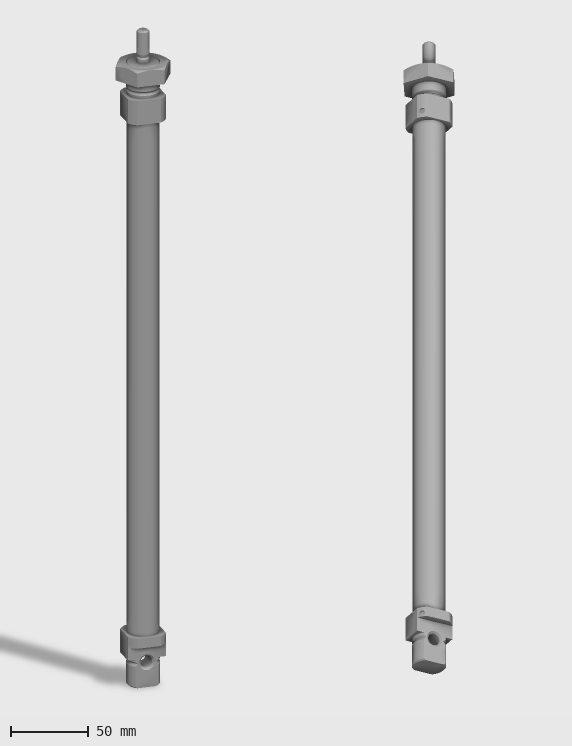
import cadquery as cq
import math

total_height = 452.0
nut_top = 430.0
nut_height = 11.0
front_cap_top = 408.0
front_cap_bottom = 391.5
rear_cap_top = 36.0

tube_diameter = 21.2
cap_across_flats = 25.8
cap_corner_diameter = 30.5
screw_hole_diameter = 3.9
screw_hole_depth = 1.5
screw_hole_inset = 4.5

thread_diameter = 22.0
thread_chamfer = 1.0
relief_diameter = 20.0
relief_height = 0.5
neck_foot_top = 410.5

eye_thickness = 16.0
eye_shoulder_bottom = 29.5
eye_block_bottom = 20.0
eye_groove_top = 18.0
eye_groove_height = 16.5
eye_groove_bottom = 15.0
eye_end_chamfer = 1.0
pin_hole_diameter = 8.0
pin_hole_height = 17.0
pin_hole_chamfer = 1.5

nut_across_flats = 32.0
nut_chamfer_angle = 30.0

rod_diameter = 8.0
rod_depth = 27.0
rod_across_flats = 7.2
rod_flat_top = 431.5
rod_relief_diameter = 6.5
rod_relief_height = 433.5
rod_thread_bottom = 435.7
rod_chamfer = 1.0

rod_bottom = nut_top - rod_depth


def cylinder(diameter, bottom, top):
    return cq.Workplane("XY", origin=(0, 0, bottom)).circle(diameter / 2).extrude(top - bottom)


def turned(outline):
    """Solid of revolution about Z from (radius, height) points that start and end on the axis."""
    return cq.Workplane("XZ").polyline(outline).close().revolve(360, (0, 0, 0), (0, 1, 0))


def end_cap(bottom, top):
    """Square block whose four vertical corners are turned round."""
    square = cq.Workplane("XY", origin=(0, 0, bottom)).rect(cap_across_flats, cap_across_flats)
    return square.extrude(top - bottom).intersect(cylinder(cap_corner_diameter, bottom, top))


def screw_hole(height):
    """Blind hole that enters a cap square to its (-X, +Y) corner."""
    inward = cq.Vector(1, -1, 0).normalized()
    start = inward * (-cap_corner_diameter / 2) + cq.Vector(0, 0, height)
    plane = cq.Plane(origin=start, xDir=(0, 0, 1), normal=inward)
    return cq.Workplane(plane).circle(screw_hole_diameter / 2).extrude(screw_hole_depth)


def threaded_neck():
    """Neck above the front cap: foot, thin collar, relief groove and chamfered thread."""
    thread_radius = thread_diameter / 2
    relief_radius = relief_diameter / 2
    groove_flank = thread_radius - relief_radius
    relief_bottom = neck_foot_top + groove_flank
    relief_top = relief_bottom + relief_height
    return turned([
        (0, front_cap_top),
        (tube_diameter / 2, front_cap_top),
        (tube_diameter / 2, neck_foot_top),
        (thread_radius, neck_foot_top),
        (relief_radius, relief_bottom),
        (relief_radius, relief_top),
        (thread_radius, relief_top + groove_flank),
        (thread_radius, nut_top - thread_chamfer),
        (thread_radius - thread_chamfer, nut_top),
        (0, nut_top),
    ])


def pin_hole():
    """Cross hole along X with a chamfered mouth on both faces of the eye."""
    face_x = eye_thickness / 2
    hole_radius = pin_hole_diameter / 2
    mouth_radius = hole_radius + pin_hole_chamfer
    outline = [
        (-face_x, 0),
        (-face_x, mouth_radius),
        (-face_x + pin_hole_chamfer, hole_radius),
        (face_x - pin_hole_chamfer, hole_radius),
        (face_x, mouth_radius),
        (face_x, 0),
    ]
    hole = cq.Workplane("XY").polyline(outline).close().revolve(360, (0, 0, 0), (1, 0, 0))
    return hole.translate((0, 0, pin_hole_height))


def rear_eye():
    """Flat tongue below the rear flange, square at its root and turned round at its end."""
    round_radius = thread_diameter / 2
    groove_radius = relief_diameter / 2
    round_end = turned([
        (0, 0),
        (round_radius - eye_end_chamfer, 0),
        (round_radius, eye_end_chamfer),
        (round_radius, eye_groove_bottom),
        (groove_radius, eye_groove_height),
        (round_radius, eye_groove_top),
        (round_radius, eye_block_bottom),
        (0, eye_block_bottom),
    ])
    root = end_cap(eye_block_bottom, eye_shoulder_bottom)
    slab = cq.Workplane("XY").rect(eye_thickness, cap_across_flats).extrude(eye_shoulder_bottom)
    return round_end.union(root).intersect(slab).cut(pin_hole())


def make_housing():
    housing = cylinder(tube_diameter, rear_cap_top, front_cap_bottom)
    housing = housing.union(end_cap(front_cap_bottom, front_cap_top)).union(threaded_neck())
    housing = housing.union(end_cap(eye_shoulder_bottom, rear_cap_top)).union(rear_eye())
    for hole_height in (front_cap_bottom + screw_hole_inset, rear_cap_top - screw_hole_inset):
        housing = housing.cut(screw_hole(hole_height))
    return housing.cut(cylinder(rod_diameter, rod_bottom, nut_top))


def make_nut():
    """Hexagon nut with a 30 degree chamfer on its upper corners."""
    bottom = nut_top - nut_height
    corner_radius = nut_across_flats / 2 / math.cos(math.radians(30))
    face_radius = nut_across_flats / 2
    drop = (corner_radius - face_radius) * math.tan(math.radians(nut_chamfer_angle))
    hexagon = cq.Workplane("XY", origin=(0, 0, bottom)).polygon(6, 2 * corner_radius).extrude(nut_height)
    hexagon = hexagon.rotate((0, 0, 0), (0, 0, 1), 90)
    envelope = turned([
        (0, bottom),
        (corner_radius, bottom),
        (corner_radius, nut_top - drop),
        (face_radius, nut_top),
        (0, nut_top),
    ])
    return hexagon.intersect(envelope).cut(cylinder(thread_diameter, bottom, nut_top))


def make_rod():
    """Round rod with wrench flats facing X, a V-shaped relief and a chamfered thread end."""
    radius = rod_diameter / 2
    relief_radius = rod_relief_diameter / 2
    rod = turned([
        (0, rod_bottom),
        (radius, rod_bottom),
        (radius, rod_relief_height - rod_chamfer),
        (relief_radius, rod_relief_height),
        (radius, rod_thread_bottom),
        (radius, total_height - rod_chamfer),
        (radius - rod_chamfer, total_height),
        (0, total_height),
    ])
    flat_height = rod_flat_top - nut_top
    flat_zone = cq.Workplane("XY", origin=(0, 0, nut_top)).rect(2 * rod_diameter, rod_diameter)
    kept_core = cq.Workplane("XY", origin=(0, 0, nut_top)).rect(rod_across_flats, rod_diameter)
    return rod.cut(flat_zone.extrude(flat_height).cut(kept_core.extrude(flat_height)))


housing = make_housing()
nut = make_nut()
rod = make_rod()

result = cq.Compound.makeCompound([housing.val(), nut.val(), rod.val()])